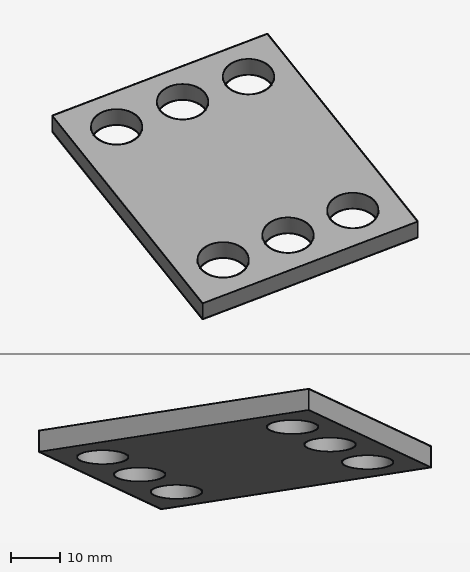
import cadquery as cq

length = 63.0
width = 49.75
thickness = 4.5

hole_diameter = 10.4
holes_per_column = 3
side_margin = 9.2
front_margin = 9.8
left_pitch = 15.25
right_pitch = 15.0


def column_centres(x, pitch):
    """Hole centres of one column, starting at the front edge."""
    first_y = front_margin - width / 2
    return [(x, first_y + i * pitch) for i in range(holes_per_column)]


column_x = length / 2 - side_margin
hole_centres = column_centres(-column_x, left_pitch) + column_centres(column_x, right_pitch)

plate = cq.Workplane("XY").box(length, width, thickness)
result = plate.faces(">Z").workplane().pushPoints(hole_centres).hole(hole_diameter)